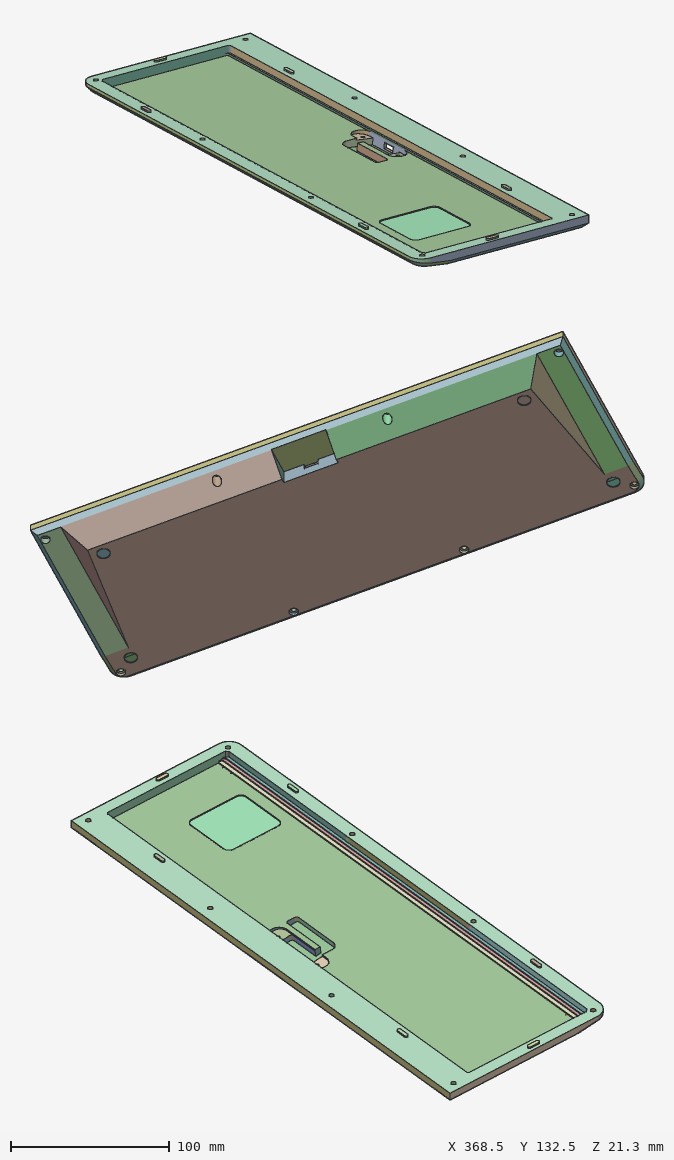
import cadquery as cq
import math


length = 368.5
depth = 132.5
body_height = 20.3
rim_thickness = 9.0
rim_chamfer = 3.5
front_corner_radius = 10.0
tilt = 7.4
slope_per_unit = math.tan(math.radians(tilt))

wedge_inset = 19.5
wedge_drop = body_height - rim_thickness
wedge_back_inset = 3.5
heel_inset = 19.0
heel_y = depth - heel_inset
flat_end_y = heel_y - wedge_drop / slope_per_unit

pocket_half_length = 176.0
pocket_front = 10.5
pocket_back = 110.2
floor_back = 108.8
pocket_depth = 6.5
pocket_corner_radius = 1.0
terrace_corner_radius = 2.2
terrace_rise = 0.7
floor_front = 17.7
lower_terrace_front = 14.7
upper_terrace_front = 12.5

pad_length = 40.5
pad_width = 45.7
pad_x = 122.5
pad_y = 49.5
pad_depth = 0.7
pad_radius = 4.5

channel_depth = 7.5
channel_left = -17.0
channel_right = 13.0
channel_front = 82.2
channel_back = floor_back
leg_end = 23.5
leg_back = 91.5
neck_left = -10.0
neck_front = 96.0
channel_outer_radius = 5.5
channel_end_radius = 2.0
ear_x = -2.0
ear_length = 51.2
ear_width = channel_back - neck_front
ear_depth = 3.0
pilot_diameter = 2.55
pilot_spacing = 38.0
pilot_y = 103.5
pilot_depth = 3.5

port_length = 9.5
port_top = -8.5
port_bottom = -12.5
port_wall = 1.5
port_bay_length = 37.5

screw_diameter = 3.5
head_diameter = 6.0
head_seat = -3.7
boss_diameter = 8.5
screw_outer_x = 177.7
screw_inner_x = 59.0
screw_back_y = 124.0
screw_front_outer_y = 8.0
screw_front_inner_y = 6.3

tab_length = 9.2
tab_width = 2.5
tab_height = 1.0
tab_x = 118.5
tab_back_y = 115.5
tab_front_y = 4.8
tab_side_x = 180.5
tab_side_y = 60.0

foot_diameter = 8.5
foot_depth = 0.7
foot_back_x = 145.5
foot_back_y = 105.8
foot_front_x = 167.0
foot_front_y = 16.5


def underside(y):
    """Height of the sloped underside at a given Y."""
    return -body_height + (heel_y - y) * slope_per_unit


def box(x0, x1, y0, y1, z0, z1):
    return cq.Workplane("XY").box(x1 - x0, y1 - y0, z1 - z0, centered=False).translate((x0, y0, z0))


def sloped_plane(x, y, z):
    """Plane parallel to the underside, with its normal pointing up and its local X along X."""
    angle = math.radians(tilt)
    return cq.Plane(origin=(x, y, z), xDir=(1, 0, 0), normal=(0, math.sin(angle), math.cos(angle)))


def side_profile(points):
    """Full-length prism from a (Y, Z) outline."""
    return cq.Workplane("YZ").polyline(points).close().extrude(length / 2, both=True)


def chamfered_slab(front_z, back_z):
    """Rim outline down to a plane through the given heights, chamfered around that plane."""
    slab = box(-length / 2, length / 2, 0, depth, -2 * body_height, 0)
    slab = slab.edges("|Z and <Y").fillet(front_corner_radius)
    slab = slab.intersect(side_profile([(0, 0), (depth, 0), (depth, back_z), (0, front_z)]))
    bottom_centre = (0, depth / 2, (front_z + back_z) / 2)
    bottom = slab.faces(cq.selectors.NearestToPointSelector(bottom_centre))
    return bottom.edges().chamfer(rim_chamfer)


def make_rim():
    """Level underside, except at the front where it follows the slope."""
    level = chamfered_slab(-rim_thickness, -rim_thickness)
    sloped = chamfered_slab(underside(0), underside(depth))
    return level.intersect(sloped)


def make_wedge():
    half_top = length / 2 - wedge_inset
    half_bottom = half_top - wedge_drop
    front_profile = (
        cq.Workplane("XZ")
        .polyline([
            (-half_top, -rim_thickness), (half_top, -rim_thickness),
            (half_bottom, -body_height), (-half_bottom, -body_height),
        ])
        .close()
        .extrude(-depth)
    )
    return front_profile.intersect(side_profile([
        (flat_end_y, -rim_thickness), (depth - wedge_back_inset, -rim_thickness),
        (heel_y, -body_height),
    ]))


def bosses():
    """Posts left standing in the pocket around the front screws."""
    return (
        cq.Workplane("XY")
        .pushPoints([point for point in screw_points() if point[1] < depth / 2])
        .circle(boss_diameter / 2)
        .extrude(-pocket_depth)
    )


def pocket_level(front, back, floor_depth, front_radius):
    """One level of the pocket, from the rim face down to its own floor."""
    level = box(-pocket_half_length, pocket_half_length, front, back, -floor_depth, 0)
    level = level.edges("|Z and >Y").fillet(pocket_corner_radius)
    if front_radius > 0:
        level = level.edges("|Z and <Y").fillet(front_radius)
    return level


def make_pocket():
    """Pocket whose floor climbs to the front in terraces."""
    levels = [
        (pocket_front, pocket_back, terrace_corner_radius),
        (upper_terrace_front, pocket_back, terrace_corner_radius),
        (lower_terrace_front, floor_back, terrace_corner_radius),
        (floor_front, floor_back, 0),
    ]
    pocket = cq.Workplane("XY")
    for steps_above_floor, (front, back, front_radius) in zip((3, 2, 1, 0), levels):
        floor_depth = pocket_depth - steps_above_floor * terrace_rise
        pocket = pocket.union(pocket_level(front, back, floor_depth, front_radius))
    return pocket.cut(bosses())


def make_pad_recess():
    pad = box(
        pad_x - pad_length / 2, pad_x + pad_length / 2,
        pad_y - pad_width / 2, pad_y + pad_width / 2,
        -pocket_depth - pad_depth, -pocket_depth,
    )
    return pad.edges("|Z").fillet(pad_radius)


def make_channel():
    """Cable channel, two screw ears and their pilot holes."""
    top = sloped_plane(0, channel_back, -pocket_depth)

    def on_slope(y):
        return (y - channel_back) * math.cos(math.radians(tilt))

    def block(x0, x1, y0, y1):
        return (
            cq.Workplane(top)
            .workplane(offset=-channel_depth)
            .moveTo((x0 + x1) / 2, (on_slope(y0) + on_slope(y1)) / 2)
            .rect(x1 - x0, on_slope(y1) - on_slope(y0))
            .extrude(body_height)
        )

    upright = cq.selectors.ParallelDirSelector(top.zDir)
    corner = cq.selectors.NearestToPointSelector((channel_left, channel_front, 0))
    neck = block(channel_left, channel_right, neck_front, channel_back)
    neck = neck.edges(upright).edges(">X").fillet(channel_end_radius)
    bend = block(channel_left, neck_left, channel_front, channel_back)
    bend = bend.edges(upright).edges(corner).fillet(channel_outer_radius)
    leg = block(channel_left + channel_outer_radius, leg_end, channel_front, leg_back)
    leg = leg.edges(upright).edges(">X").fillet(channel_end_radius)

    ear_floor = cq.Workplane(top).workplane(offset=-ear_depth)
    ears = ear_floor.center(ear_x, -ear_width / 2).slot2D(ear_length, ear_width).extrude(body_height)
    pilots = (
        ear_floor
        .center(ear_x, on_slope(pilot_y))
        .pushPoints([(-pilot_spacing / 2, 0), (pilot_spacing / 2, 0)])
        .circle(pilot_diameter / 2)
        .extrude(-pilot_depth)
    )
    below_pocket = box(-length / 2, length / 2, 0, pocket_back, -body_height, -pocket_depth)
    return neck.union(bend).union(leg).union(ears).intersect(below_pocket).union(pilots)


def make_port():
    """Connector opening through the back wall, with a wider bay behind it."""
    opening = box(-port_length / 2, port_length / 2, channel_back - port_wall, depth, port_bottom, port_top)
    bay = box(
        -port_bay_length / 2, port_bay_length / 2, channel_back + port_wall, depth,
        -body_height, port_top,
    )
    return opening.union(bay)


def screw_points():
    points = []
    for side in (-1, 1):
        points.append((side * screw_outer_x, screw_back_y))
        points.append((side * screw_inner_x, screw_back_y))
        points.append((side * screw_outer_x, screw_front_outer_y))
        points.append((side * screw_inner_x, screw_front_inner_y))
    return points


def make_screw_holes():
    """Through holes with head recesses from below."""
    shanks = cq.Workplane("XY").pushPoints(screw_points()).circle(screw_diameter / 2).extrude(-body_height)
    heads = (
        cq.Workplane("XY", origin=(0, 0, head_seat))
        .pushPoints(screw_points())
        .circle(head_diameter / 2)
        .extrude(-body_height)
    )
    return shanks.union(heads)


def make_tabs():
    """Obround tabs standing on the rim."""
    long_edges = [(side * tab_x, y) for side in (-1, 1) for y in (tab_front_y, tab_back_y)]
    short_edges = [(side * tab_side_x, tab_side_y) for side in (-1, 1)]
    rim_top = cq.Workplane("XY")
    tabs = rim_top.pushPoints(long_edges).slot2D(tab_length, tab_width).extrude(tab_height)
    return tabs.union(rim_top.pushPoints(short_edges).slot2D(tab_length, tab_width, 90).extrude(tab_height))


def make_foot_recesses():
    feet = cq.Workplane("XY")
    for x, y in ((foot_back_x, foot_back_y), (foot_front_x, foot_front_y)):
        for side in (-1, 1):
            plane = sloped_plane(side * x, y, underside(y))
            disc = cq.Workplane(plane).circle(foot_diameter / 2).extrude(foot_depth)
            feet = feet.union(disc)
    return feet


result = (
    make_rim()
    .union(make_wedge())
    .cut(make_pocket())
    .cut(make_pad_recess())
    .cut(make_channel())
    .cut(make_port())
    .cut(make_screw_holes())
    .cut(make_foot_recesses())
    .union(make_tabs())
)